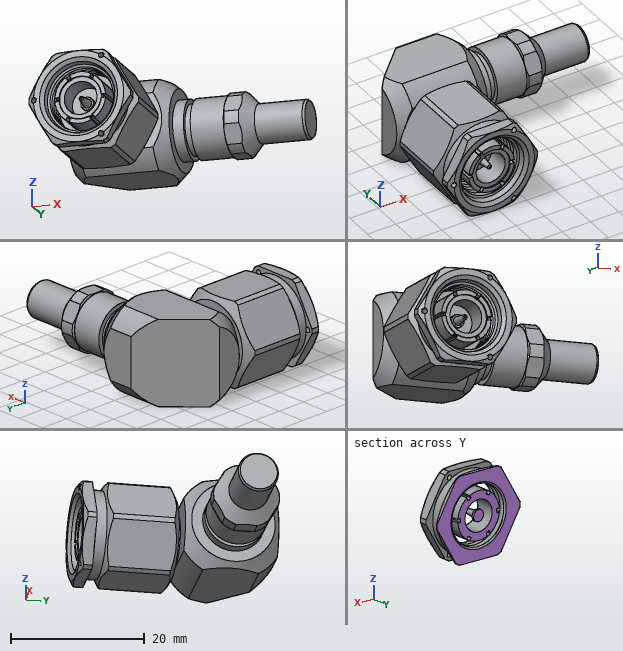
import cadquery as cq
import math


length_x = 37.23
length_y = 29.6
nut_corner_radius = 8.0

body_size = 14.25
body_round_radius = 8.3
body_left_x = -7.1
body_right_x = 8.97
body_end_radius = 6.35
body_chamfer_length = 2.27
miter_offset = 4.9

collar_end_x = 10.7
barrel_start_x = 11.75
clamp_start_x = 16.98
clamp_cone_start_x = 19.47
clamp_cone_end_x = 21.35
cable_end_x = length_x - nut_corner_radius
barrel_radius = 4.7
barrel_groove_radius = 3.95
clamp_across_flats = 9.53
clamp_corner_radius = 5.03
clamp_back_radius = 4.73
clamp_back_chamfer = 0.2
cable_radius = 3.05
cable_chamfer_length = 0.37
cable_chamfer_depth = 0.22

nut_back_y = -7.75
nut_groove_start_y = -18.85
flange_back_y = -20.6
nut_front_y = body_size / 2 - length_y
nut_across_flats = body_size
nut_back_radius = 6.33
nut_groove_radius = 6.75
flange_front_radius = 7.1
nut_chamfer_angle = 30
neck_radius = 4.0
wire_hole_radius = 0.4
wire_hole_circle_radius = 7.07
wire_hole_angles = (60, 180, 300)

mouth_radius = 6.15
mouth_depth = 0.5
thread_major_radius = 5.55
thread_minor_radius = 5.0
thread_pitch = 0.9
thread_count = 5
thread_lead_radius = 5.35
thread_lead_length = 0.15
thread_start_y = nut_front_y + 1.55
thread_end_y = thread_start_y + thread_pitch * thread_count

ring_front_y = nut_front_y + 0.75
ring_outer_radius = 4.02
slot_count = 6
slot_width = 0.55
slot_floor_radius = 3.5
slot_lip_notch_depth = 0.52
sleeve_radius = 3.3
sleeve_setback = 0.25
sleeve_front_y = ring_front_y + sleeve_setback
socket_radius = 2.57
pin_tip_y = nut_front_y + 1.15
pin_tip_radius = 0.35
pin_tip_chamfer = 0.2
pin_root_radius = 0.7
pin_taper_length = 2.98
pin_shoulder_radius = 1.0
pin_shoulder_length = 0.75
pin_shoulder_y = pin_tip_y + pin_taper_length
socket_floor_y = pin_shoulder_y + pin_shoulder_length


def turned_on_x(profile):
    """Solid of revolution about X from (x, radius) points, closed along the axis."""
    points = [(profile[0][0], 0)] + profile + [(profile[-1][0], 0)]
    return cq.Workplane("XY").polyline(points).close().revolve(360, (0, 0), (1, 0))


def turned_on_y(profile):
    """Solid of revolution about Y from (y, radius) points, closed along the axis."""
    points = [(0, profile[0][0])]
    points += [(radius, y) for y, radius in profile]
    points += [(0, profile[-1][0])]
    return cq.Workplane("XY").polyline(points).close().revolve(360, (0, 0), (0, 1))


def disc_on_y(radius, start_y, end_y):
    return turned_on_y([(start_y, radius), (end_y, radius)])


def hexagon(plane, across_flats, start, end):
    """Hexagonal prism with flats facing +Z and -Z, between two places along the plane normal."""
    corner_diameter = across_flats / math.cos(math.radians(30))
    return cq.Workplane(plane).workplane(offset=start).polygon(6, corner_diameter).extrude(end - start)


def chamfer_length(radius_drop):
    return radius_drop * math.tan(math.radians(nut_chamfer_angle))


def elbow_body():
    blank = turned_on_x([
        (body_left_x, body_end_radius),
        (body_left_x + body_chamfer_length, body_round_radius),
        (body_right_x - body_chamfer_length, body_round_radius),
        (body_right_x, body_end_radius),
    ])
    half = body_size / 2
    outline = [
        (body_left_x, -half),
        (body_right_x, -half),
        (body_right_x, half),
        (half - miter_offset, half),
        (body_left_x, body_left_x + miter_offset),
    ]
    envelope = cq.Workplane("XY").polyline(outline).close().extrude(half, both=True)
    return blank.intersect(envelope)


def cable_branch():
    barrel = turned_on_x([
        (0, barrel_radius),
        (collar_end_x, barrel_radius),
        (collar_end_x, barrel_groove_radius),
        (barrel_start_x, barrel_groove_radius),
        (barrel_start_x, barrel_radius),
        (clamp_start_x, barrel_radius),
    ])
    clamp = turned_on_x([
        (clamp_start_x, clamp_back_radius),
        (clamp_start_x + clamp_back_chamfer, clamp_corner_radius),
        (clamp_cone_start_x, clamp_corner_radius),
        (clamp_cone_end_x, cable_radius),
    ])
    clamp = clamp.intersect(hexagon("YZ", clamp_across_flats, clamp_start_x, clamp_cone_end_x))
    cable = turned_on_x([
        (clamp_start_x, cable_radius),
        (cable_end_x - cable_chamfer_length, cable_radius),
        (cable_end_x, cable_radius - cable_chamfer_depth),
    ])
    return barrel.union(clamp).union(cable)


def nut_bore():
    """Flared mouth, tapered bore, thread lead-in cone and ring-shaped V grooves for the thread."""
    profile = [
        (nut_front_y, mouth_radius),
        (nut_front_y + mouth_depth, thread_major_radius),
        (thread_start_y - thread_lead_length, thread_lead_radius),
        (thread_start_y, thread_minor_radius),
    ]
    for turn in range(thread_count):
        turn_start_y = thread_start_y + turn * thread_pitch
        profile.append((turn_start_y + thread_pitch / 2, thread_major_radius))
        profile.append((turn_start_y + thread_pitch, thread_minor_radius))
    return turned_on_y(profile)


def coupling_nut():
    blank = turned_on_y([
        (nut_back_y, nut_back_radius),
        (nut_back_y - chamfer_length(nut_corner_radius - nut_back_radius), nut_corner_radius),
        (nut_groove_start_y + chamfer_length(nut_corner_radius - nut_groove_radius), nut_corner_radius),
        (nut_groove_start_y, nut_groove_radius),
        (flange_back_y, nut_groove_radius),
        (flange_back_y, nut_corner_radius),
        (nut_front_y + chamfer_length(nut_corner_radius - flange_front_radius), nut_corner_radius),
        (nut_front_y, flange_front_radius),
    ])
    nut = blank.intersect(hexagon("XZ", nut_across_flats, -nut_back_y, -nut_front_y))
    nut = nut.cut(nut_bore())
    for angle in wire_hole_angles:
        x = wire_hole_circle_radius * math.cos(math.radians(angle))
        z = wire_hole_circle_radius * math.sin(math.radians(angle))
        hole = (
            cq.Workplane("XZ", origin=(0, nut_front_y, 0))
            .center(x, z)
            .circle(wire_hole_radius)
            .extrude(nut_front_y - flange_back_y)
        )
        nut = nut.cut(hole)
    return nut


def contact_ring():
    ring = disc_on_y(ring_outer_radius, ring_front_y, thread_end_y)
    ring = ring.cut(disc_on_y(sleeve_radius, ring_front_y, sleeve_front_y))
    slot_length = thread_end_y - ring_front_y
    for index in range(slot_count):
        slot = (
            cq.Workplane("XY")
            .box(ring_outer_radius, slot_length, slot_width, centered=(False, False, True))
            .translate((slot_floor_radius, ring_front_y, 0))
        )
        lip_notch = (
            cq.Workplane("XY")
            .box(ring_outer_radius, slot_lip_notch_depth, slot_width, centered=(False, False, True))
            .translate((0, ring_front_y, 0))
            .cut(disc_on_y(sleeve_radius, ring_front_y, thread_end_y))
        )
        angle = 360 / slot_count * index
        ring = ring.cut(slot.union(lip_notch).rotate((0, 0, 0), (0, 1, 0), angle))
    return ring.cut(disc_on_y(socket_radius, ring_front_y, socket_floor_y))


def center_pin():
    return turned_on_y([
        (pin_tip_y, pin_tip_radius - pin_tip_chamfer),
        (pin_tip_y + pin_tip_chamfer, pin_tip_radius),
        (pin_shoulder_y, pin_root_radius),
        (pin_shoulder_y, pin_shoulder_radius),
        (socket_floor_y, pin_shoulder_radius),
    ])


neck = disc_on_y(neck_radius, nut_back_y, 0)

result = (
    elbow_body()
    .union(cable_branch())
    .union(neck)
    .union(coupling_nut())
    .union(contact_ring())
    .union(center_pin())
)